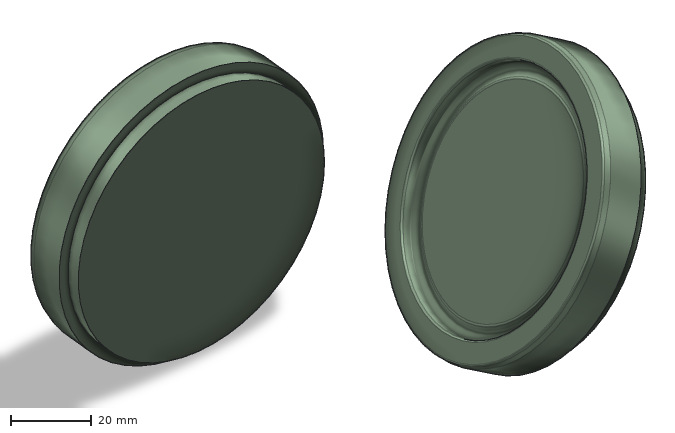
import cadquery as cq
import math

flange_radius = 42.45
flange_thickness = 12.0
spigot_radius = 79.0 / 2
spigot_length = 4.0
total_length = flange_thickness + spigot_length

taper_end = 2.0
edge_round = 0.5
edge_radius = 42.0

panel_depth = 3.0
panel_radius = 30.9
shoulder_round = 1.2
shoulder_slope = math.radians(35)

groove_outer_radius = 35.4
groove_floor_radius = 33.45
groove_depth = 3.8
lip_round = 0.5
groove_corner_round = groove_outer_radius - groove_floor_radius


def shoulder_point(angle):
    """Point (x, radius) on the panel shoulder where it slopes at the given angle."""
    drop = shoulder_round * (1 - math.cos(angle))
    return panel_depth + drop, panel_radius + shoulder_round * math.sin(angle)


round_gap = 1 - math.sqrt(0.5)

shoulder_end = shoulder_point(shoulder_slope)
lip_inner = (lip_round, groove_outer_radius)
lip_outer = (0, groove_outer_radius + lip_round)
groove_corner = (
    groove_depth - groove_corner_round * round_gap,
    groove_outer_radius - groove_corner_round * round_gap,
)
rim_face = (0, edge_radius - edge_round)
rim_side = (edge_round, edge_radius)

half_section = (
    cq.Workplane("XY")
    .moveTo(panel_depth, 0)
    .lineTo(panel_depth, panel_radius)
    .threePointArc(shoulder_point(shoulder_slope / 2), shoulder_end)
    .spline(
        [(groove_depth, groove_floor_radius), groove_corner, lip_inner],
        tangents=[(math.sin(shoulder_slope), math.cos(shoulder_slope)), (-1, 0)],
        includeCurrent=True,
    )
    .threePointArc((lip_round * round_gap, groove_outer_radius + lip_round * round_gap), lip_outer)
    .lineTo(*rim_face)
    .threePointArc((edge_round * round_gap, edge_radius - edge_round * round_gap), rim_side)
    .lineTo(taper_end, flange_radius)
    .lineTo(flange_thickness, flange_radius)
    .lineTo(flange_thickness, spigot_radius)
    .lineTo(total_length, spigot_radius)
    .lineTo(total_length, 0)
    .close()
)

result = half_section.revolve(360, (0, 0, 0), (1, 0, 0))